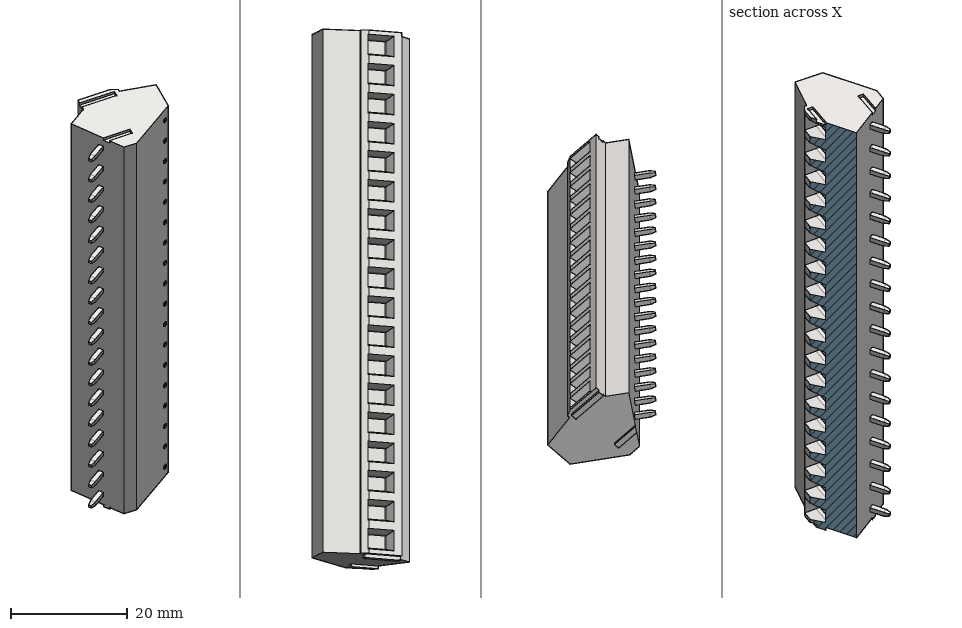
import cadquery as cq
import math

pole_count = 18
total_height = 92.0
wire_key_height = 0.6
body_height = total_height - wire_key_height
pitch = body_height / pole_count
pole_heights = [(i + 0.5) * pitch for i in range(pole_count)]

body_width = 12.0
body_depth = 15.5
back_shoulder_y = 12.3
front_chamfer_x = 1.4
front_chamfer_y = 1.9

bar_angle = 56.0
bar_tip_x = -1.9
bar_tip_y = 5.3
bar_length = 7.4
bar_head_depth = 1.0
bar_chamfer_along = 1.2
bar_chamfer_depth = 0.55

entry_start = 1.5
mouth_length = 4.8
mouth_height = 3.6
mouth_taper = 0.55
mouth_depth = 1.9
bore_depth = 0.7

key_width = 1.0
wire_key_inset = 0.7
wire_key_length = 6.5
pin_key_height = 0.5
pin_key_end_x = 9.7
pin_key_end_y = 3.9
slot_depth = 0.55

pin_x = 6.0
pin_size = 0.9
pin_length = 3.6
pin_tip_length = 0.9
pin_tip_size = 0.55
pin_root = 0.9

boss_y = 11.1
boss_size = 0.6
boss_projection = 0.2

lean = math.radians(bar_angle)
along = (math.cos(lean), math.sin(lean))
inward = (math.sin(lean), -math.cos(lean))


def on_bar(distance, depth):
    """XY point at a distance up the bar's outer face from its tip and a depth below that face."""
    return (
        bar_tip_x + distance * along[0] + depth * inward[0],
        bar_tip_y + distance * along[1] + depth * inward[1],
    )


def prism(points, base, height):
    return cq.Workplane("XY").workplane(offset=base).polyline(points).close().extrude(height)


def housing():
    bar_foot = on_bar(0, -bar_tip_x / inward[0])
    bar_head = on_bar(bar_length, bar_head_depth)
    section = [
        (0, 0),
        (body_width - front_chamfer_x, 0),
        (body_width, front_chamfer_y),
        (body_width, back_shoulder_y),
        (bar_head[0] + body_depth - bar_head[1], body_depth),
        bar_head,
        on_bar(bar_length, bar_chamfer_depth),
        on_bar(bar_length - bar_chamfer_along, 0),
        on_bar(0, 0),
        bar_foot,
    ]
    return prism(section, 0, body_height)


def wire_entry(z):
    """Tapered mouth square to the bar's face, leading into a straight rectangular bore."""
    center = on_bar(entry_start + mouth_length / 2, 0)
    face = cq.Plane(origin=(*center, z), xDir=(*along, 0), normal=(*inward, 0))
    bore_length = mouth_length - 2 * mouth_taper
    bore_height = mouth_height - 2 * mouth_taper
    mouth = (
        cq.Workplane(face)
        .rect(mouth_length, mouth_height)
        .workplane(offset=mouth_depth)
        .rect(bore_length, bore_height)
        .loft(ruled=True)
    )
    bore = cq.Workplane(face).rect(bore_length, bore_height).extrude(mouth_depth + bore_depth)
    return mouth.union(bore)


def wire_key(base, height):
    """Strip parallel to the bar's face, reaching down to the bar's lower end."""
    outer = wire_key_inset
    inner = wire_key_inset + key_width
    corners = [
        on_bar(0, outer),
        on_bar(wire_key_length, outer),
        on_bar(wire_key_length, inner),
        on_bar(0, inner),
    ]
    return prism(corners, base, height)


def pin_key(base, height):
    """Leaning strip that runs out through the -Y face."""
    half_x = key_width / 2 * inward[0]
    half_y = key_width / 2 * inward[1]
    exit_center_x = pin_key_end_x - pin_key_end_y * along[0] / along[1]
    exit_half = key_width / 2 / along[1]
    corners = [
        (exit_center_x - exit_half, 0),
        (exit_center_x + exit_half, 0),
        (pin_key_end_x + half_x, pin_key_end_y + half_y),
        (pin_key_end_x - half_x, pin_key_end_y - half_y),
    ]
    return prism(corners, base, height)


def solder_pin(z):
    """Square pin standing out of the -Y face, with a tapered tip."""
    outward = cq.Plane(origin=(pin_x, pin_root, z), xDir=(1, 0, 0), normal=(0, -1, 0))
    shank_length = pin_root + pin_length - pin_tip_length
    shank = cq.Workplane(outward).rect(pin_size, pin_size).extrude(shank_length)
    tip = (
        cq.Workplane(outward)
        .workplane(offset=shank_length)
        .rect(pin_size, pin_size)
        .workplane(offset=pin_tip_length)
        .rect(pin_tip_size, pin_tip_size)
        .loft(ruled=True)
    )
    return shank.union(tip)


def boss(z):
    block = cq.Workplane("XY").box(2 * boss_projection, boss_size, boss_size)
    return block.translate((body_width, boss_y, z))


result = housing()
result = result.cut(wire_key(body_height - slot_depth, slot_depth))
result = result.cut(pin_key(body_height - slot_depth, slot_depth))
result = result.union(wire_key(-wire_key_height, wire_key_height))
result = result.union(pin_key(-pin_key_height, pin_key_height))
for pole_z in pole_heights:
    result = result.cut(wire_entry(pole_z))
    result = result.union(solder_pin(pole_z))
    result = result.union(boss(pole_z))